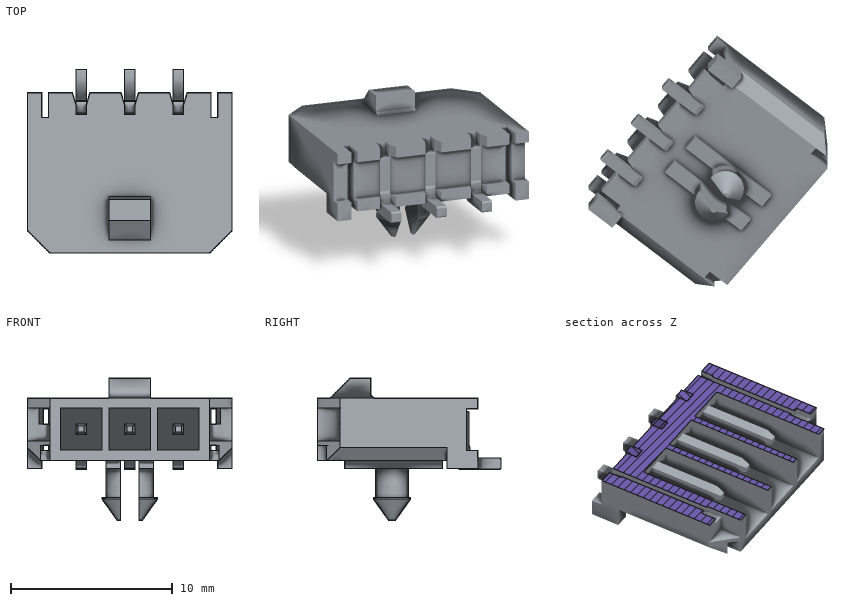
import cadquery as cq


positions = 3
pitch = 3.0
contact_width = 0.66
pin_height = 0.66
pin_axis_z = 1.94
pin_tip_y = 2.5
pin_tip_inset = 0.15
pin_tip_length = 0.6
post_front_y = 8.56
post_rear_y = 9.37
post_top = 3.04
post_crown_drop = 0.03
post_crown_front = 0.09
post_crown_rear = 0.13
post_foot_y = 9.43
post_foot_top = 0.77
post_foot_ramp_top = 0.93
tail_top = 0.165
tail_bottom = -0.55
tail_end_y = 11.35
tail_edge_radius = 0.12
heel_chamfer_length = 0.25
heel_chamfer_height = 0.1

housing_width = 12.65
housing_depth = 9.91
housing_height = 3.86
corner_chamfer = 1.4
cavity_size = 2.57
cavity_axis_z = 1.95
cavity_depth = 7.4

rear_wall_y = 9.21
rear_plate_bottom = 3.19
rear_ledge_top = 0.63
flare_mouth_width = 1.07
foot_height = 0.5
foot_front_y = 8.0
side_bevel_width = 0.82
side_bevel_height = 0.79

nail_slot_inner_x = 5.02
nail_slot_outer_x = 5.42
nail_slot_front_y = 8.38
nail_channel_outer_x = 5.33
corner_pocket_bottom = 1.21
corner_pocket_top = 3.23
nail_window_outer_x = 5.6
nail_window_bottom = 2.25
nail_window_depth = 1.0
nail_notch_outer_x = 5.5
nail_notch_top = 0.94

latch_width = 2.57
latch_height = 1.22
latch_rear_y = 3.31
latch_top_front_y = 2.02
latch_toe_length = 0.2
latch_toe_height = 0.16

rail_inner_x = 0.566
rail_outer_x = 1.47
rail_front_y = 1.69
rail_rear_y = 7.74
peg_axis_y = 4.61
peg_shank_radius = 1.02
peg_barb_radius = 1.15
peg_tip_radius = 0.21
peg_bottom = -3.69
peg_barb_top = -2.29
peg_barb_rim = 0.1

half_width = housing_width / 2
face_half_width = half_width - corner_chamfer
contact_xs = [(i - (positions - 1) / 2) * pitch for i in range(positions)]
body_bottom = -foot_height


def block(x0, x1, y0, y1, z0, z1):
    """Box between two opposite corners."""
    return cq.Workplane("XY").box(x1 - x0, y1 - y0, z1 - z0, centered=False).translate((x0, y0, z0))


def both_ends(shape):
    """The shape together with its mirror image about the YZ plane."""
    return shape.union(shape.mirror("YZ"))


def make_shell():
    """Block with its two front vertical corners cut off."""
    outline = [
        (-face_half_width, 0),
        (face_half_width, 0),
        (half_width, corner_chamfer),
        (half_width, housing_depth),
        (-half_width, housing_depth),
        (-half_width, corner_chamfer),
    ]
    return cq.Workplane("XY").polyline(outline).close().extrude(housing_height)


def make_latch():
    """Ramp on the roof that the mating plug snaps over."""
    roof = housing_height
    top = roof + latch_height
    profile = [
        (latch_top_front_y - latch_height, roof),
        (latch_top_front_y, top),
        (latch_rear_y, top),
        (latch_rear_y, roof + latch_toe_height),
        (latch_rear_y + latch_toe_length, roof),
    ]
    return cq.Workplane("YZ").polyline(profile).close().extrude(latch_width / 2, both=True)


def make_peg_half():
    """Half of the split peg on the +X side: round shank and conical barb, flat on the inside."""
    shank_axis_x = rail_outer_x - peg_shank_radius
    cone_top = peg_barb_top - peg_barb_rim
    shank = (
        cq.Workplane("XY", origin=(shank_axis_x, peg_axis_y, body_bottom))
        .circle(peg_shank_radius)
        .extrude(peg_barb_top - body_bottom)
    )
    barb_profile = [
        (0, peg_barb_top),
        (peg_barb_radius, peg_barb_top),
        (peg_barb_radius, cone_top),
        (peg_tip_radius, peg_bottom),
        (0, peg_bottom),
    ]
    barb = (
        cq.Workplane("XZ")
        .polyline(barb_profile)
        .close()
        .revolve(360, (0, 0), (0, 1))
        .translate((rail_inner_x, peg_axis_y, 0))
    )
    outer_side = block(rail_inner_x, half_width, 0, housing_depth, peg_bottom, body_bottom)
    return shank.union(barb).intersect(outer_side)


def make_underside():
    """Board feet at the rear ends, standoff rails and the peg halves."""
    foot = block(nail_slot_outer_x, half_width, foot_front_y, housing_depth, body_bottom, 0)
    rail = block(rail_inner_x, rail_outer_x, rail_front_y, rail_rear_y, body_bottom, 0)
    return both_ends(foot.union(rail).union(make_peg_half()))


def make_side_bevel():
    """Wedge along the lower +X edge, in front of the foot."""
    profile = [
        (half_width - side_bevel_width, 0),
        (half_width, 0),
        (half_width, side_bevel_height),
    ]
    return cq.Workplane("XZ").polyline(profile).close().extrude(-foot_front_y)


def make_nail_cuts():
    """Pockets, windows and channels for the fitting nail at the +X end."""
    pocket = block(
        face_half_width, half_width, 0, corner_chamfer, corner_pocket_bottom, corner_pocket_top
    )
    window = block(
        face_half_width, nail_window_outer_x,
        corner_chamfer, corner_chamfer + nail_window_depth,
        nail_window_bottom, corner_pocket_top,
    )
    notch = block(face_half_width, nail_notch_outer_x, 0, corner_chamfer, 0, nail_notch_top)
    notch_window = block(
        face_half_width, nail_notch_outer_x,
        corner_chamfer, corner_chamfer + nail_window_depth,
        rear_ledge_top, nail_notch_top,
    )
    upper_channel = block(
        nail_slot_inner_x, nail_channel_outer_x,
        corner_chamfer, housing_depth,
        nail_window_bottom, rear_plate_bottom,
    )
    lower_channel = block(
        nail_slot_inner_x, nail_channel_outer_x,
        corner_chamfer, housing_depth,
        rear_ledge_top, nail_notch_top,
    )
    rear_slot = block(
        nail_slot_inner_x, nail_slot_outer_x,
        nail_slot_front_y, housing_depth,
        0, housing_height,
    )
    cuts = pocket
    for cut in (window, notch, notch_window, upper_channel, lower_channel, rear_slot):
        cuts = cuts.union(cut)
    return cuts


def make_contact_cuts(x):
    """Plug cavity, pin hole and flared rear slot for the contact at x."""
    half_cavity = cavity_size / 2
    half_contact = contact_width / 2
    half_pin = pin_height / 2
    cavity = block(
        -half_cavity, half_cavity, 0, cavity_depth,
        cavity_axis_z - half_cavity, cavity_axis_z + half_cavity,
    )
    pin_hole = block(
        -half_contact, half_contact, cavity_depth, post_front_y,
        pin_axis_z - half_pin, pin_axis_z + half_pin,
    )
    slot_outline = [
        (-half_contact, post_front_y),
        (half_contact, post_front_y),
        (half_contact, rear_wall_y),
        (flare_mouth_width / 2, housing_depth),
        (-flare_mouth_width / 2, housing_depth),
        (-half_contact, rear_wall_y),
    ]
    slot = cq.Workplane("XY").polyline(slot_outline).close().extrude(housing_height)
    return cavity.union(pin_hole).union(slot).translate((x, 0, 0))


def make_housing():
    rear_recess = block(
        -half_width, half_width, rear_wall_y, housing_depth, rear_ledge_top, rear_plate_bottom
    )
    body = make_shell().cut(rear_recess)
    body = body.cut(both_ends(make_side_bevel()))
    body = body.cut(both_ends(make_nail_cuts()))
    for x in contact_xs:
        body = body.cut(make_contact_cuts(x))
    return body.union(make_latch()).union(make_underside())


def make_contact(x):
    """Pin, upright post and solder tail in one piece."""
    shoulder = post_top - post_crown_drop
    half_pin = pin_height / 2
    bend_corner = cq.Vector(post_foot_y + tail_edge_radius, tail_top + tail_edge_radius)
    arc_reach = tail_edge_radius * 0.5 ** 0.5
    post_and_tail = (
        cq.Workplane("YZ")
        .moveTo(post_front_y, tail_bottom + heel_chamfer_height)
        .lineTo(post_front_y, shoulder)
        .lineTo(post_front_y + post_crown_front, post_top)
        .lineTo(post_rear_y - post_crown_rear, post_top)
        .lineTo(post_rear_y, shoulder)
        .lineTo(post_rear_y, post_foot_ramp_top)
        .lineTo(post_foot_y, post_foot_top)
        .lineTo(post_foot_y, bend_corner.y)
        .threePointArc(
            (bend_corner.x - arc_reach, bend_corner.y - arc_reach),
            (bend_corner.x, tail_top),
        )
        .lineTo(tail_end_y, tail_top)
        .lineTo(tail_end_y, tail_bottom)
        .lineTo(post_front_y + heel_chamfer_length, tail_bottom)
        .close()
        .extrude(contact_width / 2, both=True)
        .faces(">Y")
        .edges("|X")
        .fillet(tail_edge_radius)
    )
    shaft_start_y = pin_tip_y + pin_tip_length
    pin_shaft = block(
        -contact_width / 2, contact_width / 2, shaft_start_y, post_front_y,
        pin_axis_z - half_pin, pin_axis_z + half_pin,
    )
    pin_tip = (
        cq.Workplane("XZ", origin=(0, shaft_start_y, pin_axis_z))
        .rect(contact_width, pin_height)
        .workplane(offset=pin_tip_length)
        .rect(contact_width - 2 * pin_tip_inset, pin_height - 2 * pin_tip_inset)
        .loft()
    )
    return post_and_tail.union(pin_shaft).union(pin_tip).translate((x, 0, 0))


housing = make_housing()
contacts = [make_contact(x) for x in contact_xs]

result = cq.Compound.makeCompound([housing.solids().val(), *[contact.solids().val() for contact in contacts]])